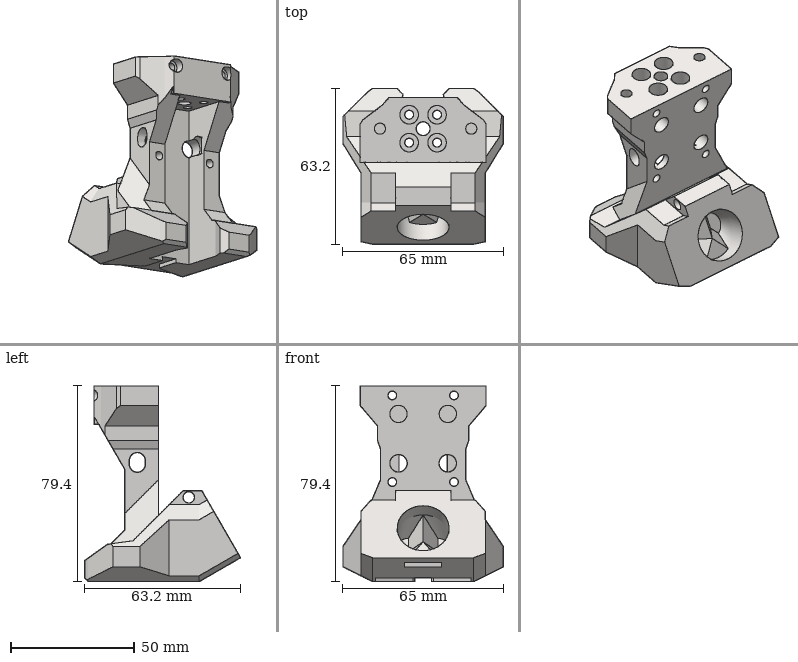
import cadquery as cq
import math


FAR = 200.0
TILT = math.radians(30)

TOP_Z = 79.35
HEAD_BACK = 26.3
HEAD_HALF = 25.55
HEAD_SIDE_BOTTOM = 71.4
NECK_HALF, NECK_TOP, NECK_BOTTOM = 18.55, 63.15, 57.3
WAIST_HALF, WAIST_TOP, WAIST_BOTTOM = 17.3, 53.7, 41.4
COLUMN_BACK = 13.76
SLOPE_START = 45.5
FOOT_TOP = 21.0
FLARE_RATE = 0.42
HEAD_PLAN = [(13.9, HEAD_BACK), (16.4, 23.35), (24.5, 17.15), (HEAD_HALF, 15.5)]
MOUNT_BOTTOM, MOUNT_HALF = 63.8, 14.2
CHANNEL_HALF, CHANNEL_FRONT = 9.7, 3.0

AXIS_Y = 13.64
CENTRE_DIA = 5.5
SCREW_DIA, SCREW_HEAD_DIA, SCREW_HEAD_DEPTH = 3.5, 7.5, 7.0
SCREW_CIRCLE = 16.0
PEG_DIA, PEG_DEPTH = 4.5, 8.0
PEG_X = (-17.5, 19.5)
FACE_DIA, FACE_HEAD_DIA, FACE_HEAD_DEPTH = 3.4, 5.5, 4.0
FACE_X, FACE_Z = 12.5, (75.5, 40.4)
SOCKET_DIA, SOCKET_X = 7.0, 10.0
SOCKETS = ((68.0, 6.0), (48.0, 12.0))
WINDOW_WIDTH, WINDOW_HEIGHT = 6.4, 7.9
WINDOW_Y, WINDOW_Z = 8.65, 48.35

BEND_Y = -16.4
NOSE_LENGTH = 19.42
BODY_HALF, BOTTOM_HALF = 25.25, 20.45
BOTTOM_RISE = 0.5
SHOULDER_Y = -4.25
SHOULDER_HALF, SHOULDER_TOP, SHOULDER_LOW = 21.1, 31.25, 25.1
LUG_HALF, LUG_FRONT, LUG_BACK = 32.49, 7.5, 18.6
DECK_FRONT_Y = 10.4
DECK_FRONT = (DECK_FRONT_Y, SHOULDER_TOP + SHOULDER_Y - DECK_FRONT_Y)
DECK_BACK = (20.75, 15.2)
TAIL_Y, TAIL_TOP, TAIL_CHAMFER = 30.0, 8.6, 1.55
TAIL_HALF, TAIL_CORNER = 20.5, (22.45, 28.6)
RIDGE_HALF, RIDGE_TOP = 11.2, 36.95
PIN_DIA, PIN_Y, PIN_Z = 4.5, -12.2, 34.2

DUCT_DIA, DUCT_DEPTH, DUCT_Z = 21.0, 7.4, 21.7
SPLIT_DROP = 2.1
SILL_CORNER_X = 5.45
BRANCH_LENGTH, BRANCH_SHIFT, BRANCH_SHRINK = 10.0, 6.0, 0.5
NOTCH_HALF, NOTCH_LOW, NOTCH_HIGH = 7.5, 6.0, 7.75
RECESS_DEPTH, RECESS_HALF, RECESS_NECK_Y = 1.6, 19.4, -9.5
RECESS_NECK_HALF, PASSAGE_HALF = 4.1, 3.3
GAP_HALF, GAP_TIP_Y, GAP_MOUTH_HALF, GAP_FLARE_Y = 8.1, 27.45, 10.6, 22.0


def mirrored(half):
    """Close a right-hand half outline with its mirror image."""
    return half + [(-x, y) for x, y in reversed(half)]


def plan_prism(half, low, high):
    return cq.Workplane("XY", origin=(0, 0, low)).polyline(mirrored(half)).close().extrude(high - low)


def front_prism(half, front, back):
    return cq.Workplane("XZ", origin=(0, front, 0)).polyline(mirrored(half)).close().extrude(front - back)


def side_prism(outline, half_width):
    return cq.Workplane("YZ").polyline(outline).close().extrude(half_width, both=True)


def block(half_width, y_range, z_range):
    (y0, y1), (z0, z1) = y_range, z_range
    solid = cq.Workplane("XY").box(2 * half_width, y1 - y0, z1 - z0)
    return solid.translate((0, (y0 + y1) / 2, (z0 + z1) / 2))


def swept_section(half, front, direction):
    """Slide an upright cross-section along any direction without turning it."""
    points = [cq.Vector(x, front, z) for x, z in mirrored(half)]
    face = cq.Face.makeFromWires(cq.Wire.makePolygon(points, close=True))
    return cq.Workplane(obj=cq.Solid.extrudeLinear(face, cq.Vector(*direction)))


def rod(diameter, start, heading, length):
    solid = cq.Solid.makeCylinder(diameter / 2, length, cq.Vector(*start), cq.Vector(*heading))
    return cq.Workplane(obj=solid)


def space_above(p, q, r):
    """Everything above the plane through three points."""
    p, q, r = cq.Vector(*p), cq.Vector(*q), cq.Vector(*r)
    normal = (q - p).cross(r - p)
    if normal.z < 0:
        normal = normal * -1
    return cq.Workplane(cq.Plane(origin=p.toTuple(), normal=normal.toTuple())).rect(FAR, FAR).extrude(FAR)


def column_and_head():
    outline = [
        (HEAD_HALF, TOP_Z),
        (HEAD_HALF, HEAD_SIDE_BOTTOM),
        (NECK_HALF, NECK_TOP),
        (NECK_HALF, NECK_BOTTOM),
        (WAIST_HALF, WAIST_TOP),
        (WAIST_HALF, DECK_BACK[1]),
    ]
    slope_end = SLOPE_START + (HEAD_BACK - COLUMN_BACK) / math.tan(TILT)
    foot_reach = FOOT_TOP - DECK_BACK[1]
    profile = [
        (0, DECK_BACK[1]),
        (0, TOP_Z),
        (HEAD_BACK, TOP_Z),
        (HEAD_BACK, slope_end),
        (COLUMN_BACK, SLOPE_START),
        (COLUMN_BACK, FOOT_TOP),
        (COLUMN_BACK + foot_reach, DECK_BACK[1]),
    ]
    plan = [(HEAD_HALF, 0)] + HEAD_PLAN[::-1]
    flare_drop = 30.0
    flare = [
        (WAIST_HALF, WAIST_BOTTOM),
        (WAIST_HALF + FLARE_RATE * flare_drop, WAIST_BOTTOM - flare_drop),
    ]
    body = front_prism(outline, 0, HEAD_BACK)
    body = body.union(swept_section(flare, 0, (0, HEAD_BACK, -HEAD_BACK)))
    body = body.intersect(side_prism(profile, FAR))
    mount = block(MOUNT_HALF, (0, HEAD_BACK), (MOUNT_BOTTOM, TOP_Z))
    return body.union(mount).intersect(plan_prism(plan, 0, TOP_Z))


def base_section():
    """Half cross-section shared by the nose and the middle of the base."""
    return [
        (BOTTOM_HALF, 0),
        (BODY_HALF, (BODY_HALF - BOTTOM_HALF) * BOTTOM_RISE),
        (BODY_HALF, SHOULDER_LOW),
        (SHOULDER_HALF, SHOULDER_TOP),
    ]


def tilted_face_y(z):
    """Y of the tilted front face at a height."""
    tip_y = BEND_Y - NOSE_LENGTH * math.cos(TILT)
    tip_z = NOSE_LENGTH * math.sin(TILT)
    return tip_y + (z - tip_z) * math.tan(TILT)


def base_front():
    section = base_section()
    middle = front_prism(section, BEND_Y, SHOULDER_Y)
    reach = 2 * NOSE_LENGTH
    nose = swept_section(section, BEND_Y, (0, -reach * math.cos(TILT), reach * math.sin(TILT)))
    ridge_outline = [
        (SHOULDER_Y, 0),
        (SHOULDER_Y, SHOULDER_TOP),
        (SHOULDER_Y + SHOULDER_TOP - RIDGE_TOP, RIDGE_TOP),
        (tilted_face_y(RIDGE_TOP), RIDGE_TOP),
        (tilted_face_y(SHOULDER_LOW), SHOULDER_LOW),
        (BEND_Y, 0),
    ]
    ridge = side_prism(ridge_outline, RIDGE_HALF)
    behind_face = [(tilted_face_y(0), 0), (FAR, 0), (FAR, FAR), (tilted_face_y(FAR), FAR)]
    return nose.union(middle).union(ridge).intersect(side_prism(behind_face, FAR))


def base_rear():
    plan = [
        (BODY_HALF, SHOULDER_Y),
        (LUG_HALF, LUG_FRONT),
        (LUG_HALF, LUG_BACK),
        TAIL_CORNER,
        (TAIL_HALF, TAIL_Y),
    ]
    profile = [
        (SHOULDER_Y, 0),
        (SHOULDER_Y, SHOULDER_TOP),
        DECK_FRONT,
        DECK_BACK,
        (TAIL_Y, TAIL_TOP),
        (TAIL_Y, TAIL_CHAMFER),
        (TAIL_Y - TAIL_CHAMFER, 0),
    ]
    keel_rise = (FAR - BOTTOM_HALF) * BOTTOM_RISE
    keel = [(BOTTOM_HALF, 0), (FAR, keel_rise)]
    rear = plan_prism(plan, 0, SHOULDER_TOP).intersect(side_prism(profile, FAR))
    rear = rear.intersect(front_prism(keel, SHOULDER_Y, TAIL_Y))
    chamfer_slope = (SHOULDER_TOP - SHOULDER_LOW) / (BODY_HALF - SHOULDER_HALF)
    deck_edge_half = SHOULDER_HALF + (SHOULDER_TOP - DECK_FRONT[1]) / chamfer_slope
    lug_side_top = SHOULDER_LOW - (LUG_HALF - BODY_HALF) * chamfer_slope
    corner = (LUG_HALF, LUG_FRONT, lug_side_top)
    shoulder_front = (SHOULDER_HALF, SHOULDER_Y, SHOULDER_TOP)
    shoulder_back = (SHOULDER_HALF, TAIL_Y, SHOULDER_TOP)
    steep = space_above(shoulder_front, shoulder_back, corner)
    level = space_above((deck_edge_half, *DECK_FRONT), (LUG_HALF, LUG_BACK, lug_side_top), corner)
    chamfer = steep.intersect(level)
    return rear.cut(chamfer).cut(chamfer.mirror("YZ"))


def cut_nozzle_space(body):
    """Channel up the back of the column, gap between the lugs, and shallow recess below."""
    body = body.cut(block(CHANNEL_HALF, (CHANNEL_FRONT, GAP_FLARE_Y), (0, MOUNT_BOTTOM)))
    gap = [
        (CHANNEL_HALF, CHANNEL_FRONT),
        (CHANNEL_HALF, GAP_FLARE_Y),
        (GAP_HALF, GAP_TIP_Y),
        (GAP_MOUTH_HALF, TAIL_Y),
    ]
    body = body.cut(plan_prism(gap, 0, DECK_FRONT[1]))
    body = body.cut(block(CHANNEL_HALF, (CHANNEL_FRONT, TAIL_Y), (DECK_BACK[1], MOUNT_BOTTOM)))
    recess_front = BEND_Y - RECESS_DEPTH / math.tan(TILT)
    recess = [
        (RECESS_HALF, recess_front),
        (RECESS_HALF, BEND_Y),
        (RECESS_NECK_HALF, RECESS_NECK_Y),
        (PASSAGE_HALF, RECESS_NECK_Y + RECESS_NECK_HALF - PASSAGE_HALF),
        (PASSAGE_HALF, CHANNEL_FRONT),
    ]
    return body.cut(plan_prism(recess, 0, RECESS_DEPTH))


def duct_branch():
    """Tapering passage that leaves one half of the duct floor and drifts sideways."""
    inward = cq.Vector(0, math.cos(TILT), -math.sin(TILT))
    floor_centre = cq.Vector(0, tilted_face_y(DUCT_Z), DUCT_Z) + inward * DUCT_DEPTH
    floor = cq.Plane(origin=floor_centre.toTuple(), xDir=(1, 0, 0), normal=inward.toTuple())
    radius = DUCT_DIA / 2
    sill_corner = (SILL_CORNER_X, math.sqrt(radius**2 - SILL_CORNER_X**2))

    def outline(scale, shift, depth):
        def place(x, down):
            return floor.toWorldCoords((x * scale + shift, down * scale, depth))

        arc = cq.Edge.makeThreePointArc(place(0, -radius), place(radius, 0), place(*sill_corner))
        sill = cq.Edge.makeLine(place(*sill_corner), place(0, SPLIT_DROP))
        divider = cq.Edge.makeLine(place(0, SPLIT_DROP), place(0, -radius))
        return cq.Wire.assembleEdges([arc, sill, divider])

    start = outline(1, 0, 0)
    end = outline(BRANCH_SHRINK, BRANCH_SHIFT, BRANCH_LENGTH)
    return cq.Workplane(obj=cq.Solid.makeLoft([start, end], True))


def cut_duct(body):
    """Round inlet square to the tilted face, splitting into two branches."""
    inward = (0, math.cos(TILT), -math.sin(TILT))
    body = body.cut(rod(DUCT_DIA, (0, tilted_face_y(DUCT_Z), DUCT_Z), inward, DUCT_DEPTH))
    branch = duct_branch()
    body = body.cut(branch).cut(branch.mirror("YZ"))
    notch_back = BEND_Y - NOTCH_LOW / math.tan(TILT)
    return body.cut(block(NOTCH_HALF, (-FAR, notch_back), (NOTCH_LOW, NOTCH_HIGH)))


def cut_top_holes(body):
    down = (0, 0, -1)
    body = body.cut(rod(CENTRE_DIA, (0, AXIS_Y, TOP_Z), down, TOP_Z))
    offset = SCREW_CIRCLE / 2 * math.sin(math.radians(45))
    for x in (-offset, offset):
        for y in (AXIS_Y - offset, AXIS_Y + offset):
            body = body.cut(rod(SCREW_DIA, (x, y, TOP_Z), down, TOP_Z))
            body = body.cut(rod(SCREW_HEAD_DIA, (x, y, TOP_Z), down, SCREW_HEAD_DEPTH))
    for x in PEG_X:
        body = body.cut(rod(PEG_DIA, (x, AXIS_Y, TOP_Z), down, PEG_DEPTH))
    return body


def cut_face_holes(body):
    backward = (0, 1, 0)
    for side in (-1, 1):
        for z in FACE_Z:
            body = body.cut(rod(FACE_DIA, (side * FACE_X, 0, z), backward, HEAD_BACK))
        for z, depth in SOCKETS:
            body = body.cut(rod(SOCKET_DIA, (side * SOCKET_X, 0, z), backward, depth))
        head_start = (side * FACE_X, HEAD_BACK - FACE_HEAD_DEPTH, FACE_Z[0])
        body = body.cut(rod(FACE_HEAD_DIA, head_start, backward, FACE_HEAD_DEPTH))
    return body


def cut_cross_holes(body):
    """Openings that run straight across in X."""
    window = cq.Workplane("YZ").center(WINDOW_Y, WINDOW_Z)
    window = window.slot2D(WINDOW_HEIGHT, WINDOW_WIDTH, 90).extrude(FAR, both=True)
    pin = cq.Workplane("YZ").center(PIN_Y, PIN_Z).circle(PIN_DIA / 2).extrude(FAR, both=True)
    return body.cut(window).cut(pin)


result = column_and_head().union(base_front()).union(base_rear())
result = cut_nozzle_space(result)
result = cut_duct(result)
result = cut_top_holes(result)
result = cut_face_holes(result)
result = cut_cross_holes(result)